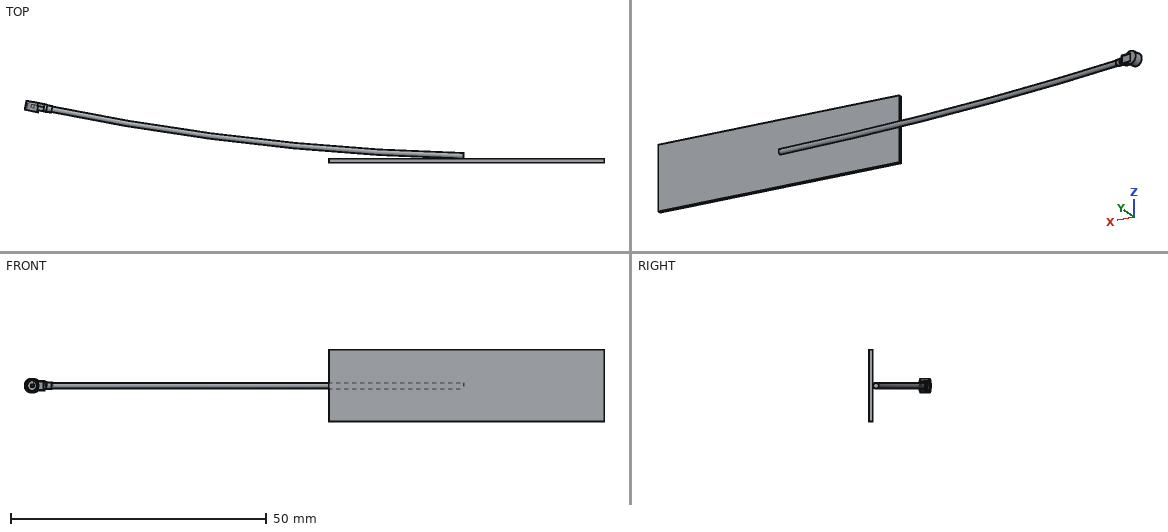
import cadquery as cq
import math


overall_length = 113.5
plate_length = 53.9
plate_thickness = 0.8
plate_height = 14.1

plug_tilt = math.radians(11.7)
barrel_diameter = 2.7
barrel_height = 1.8
recess_diameter = 2.2
recess_depth = 1.4
contact_diameter = 0.6
contact_height = 0.7
neck_end = 2.3
flap_width = 1.9
flap_thickness = 0.6
neck_width = 1.6
neck_height = 1.5
collar_diameter = 1.5
collar_length = 0.6
sleeve_diameter = 1.4
sleeve_length = 1.6
neck_offset = 0.2

cable_diameter = 1.1
cable_bend_radius = 458.5
cable_end_x = 26.3

barrel_reach = barrel_diameter / 2 * math.cos(plug_tilt) + barrel_height / 2 * math.sin(plug_tilt)
barrel_x = plate_length - overall_length + barrel_reach

cable_start_x = barrel_x + neck_end * math.cos(plug_tilt) + neck_offset * math.sin(plug_tilt)
bend_center_x = cable_start_x + cable_bend_radius * math.sin(plug_tilt)
cable_end_tilt = math.asin((bend_center_x - cable_end_x) / cable_bend_radius)
bend_center_y = cable_diameter / 2 + cable_bend_radius * math.cos(cable_end_tilt)


def bend_point(tilt):
    """Point of the cable's centre line where it slopes down by the given angle."""
    return (
        bend_center_x - cable_bend_radius * math.sin(tilt),
        bend_center_y - cable_bend_radius * math.cos(tilt),
    )


def make_plate():
    return cq.Workplane("XY").box(
        plate_length, plate_thickness, plate_height, centered=(False, False, True)
    ).translate((0, -plate_thickness, 0))


def make_cable():
    start = bend_point(plug_tilt)
    middle = bend_point((plug_tilt + cable_end_tilt) / 2)
    end = bend_point(cable_end_tilt)
    center_line = cq.Workplane("XY").moveTo(*start).threePointArc(middle, end)
    start_plane = cq.Plane(
        origin=(*start, 0),
        xDir=(0, 0, 1),
        normal=(math.cos(plug_tilt), -math.sin(plug_tilt), 0),
    )
    return cq.Workplane(start_plane).circle(cable_diameter / 2).sweep(center_line)


def make_plug(cable):
    back = cq.Workplane("XZ", origin=(0, barrel_height / 2, 0))
    mating_face = cq.Workplane("XZ", origin=(0, -barrel_height / 2, 0))

    barrel = back.circle(barrel_diameter / 2).extrude(barrel_height)
    neck = cq.Workplane("XY").box(
        neck_end, neck_height, neck_width, centered=(False, True, True)
    ).translate((0, neck_offset, 0))
    neck_face = cq.Workplane("YZ", origin=(neck_end, neck_offset, 0))
    flap = cq.Workplane("XY").box(
        neck_end, flap_thickness, flap_width, centered=(False, False, True)
    ).translate((0, barrel_height / 2 - flap_thickness, 0))
    collar = neck_face.circle(collar_diameter / 2).extrude(collar_length)
    sleeve = neck_face.circle(sleeve_diameter / 2).extrude(sleeve_length)
    recess = mating_face.circle(recess_diameter / 2).extrude(-recess_depth)
    recess_floor = mating_face.workplane(offset=-recess_depth)
    contact = recess_floor.circle(contact_diameter / 2).extrude(contact_height)
    plug = barrel.union(neck).union(flap).union(collar).union(sleeve).cut(recess).union(contact)

    start_x, start_y = bend_point(plug_tilt)
    plug = (
        plug.translate((-neck_end, -neck_offset, 0))
        .rotate((0, 0, 0), (0, 0, 1), -math.degrees(plug_tilt))
        .translate((start_x, start_y, 0))
    )
    return plug.cut(cable)


plate = make_plate()
cable = make_cable()
plug = make_plug(cable)

result = cq.Compound.makeCompound([plate.val(), cable.val(), plug.val()])